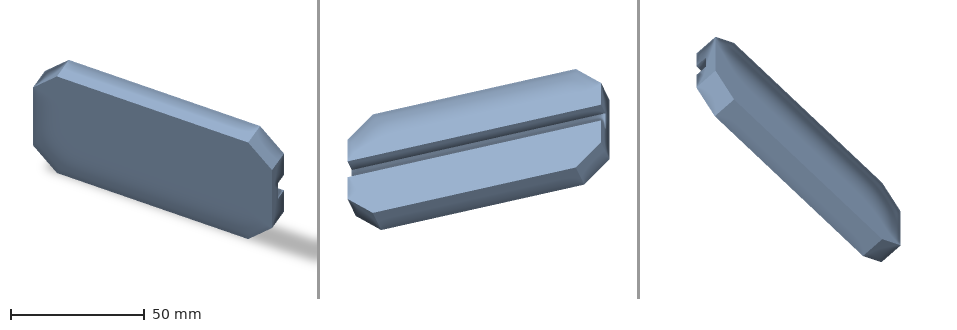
import cadquery as cq

length = 100.0
thickness = 10.0
height = 50.0
corner_cut = 10.0

groove_height = 8.0
groove_depth = thickness / 2

plate = cq.Workplane("XY").box(length, thickness, height).edges("|Y").chamfer(corner_cut)

groove = (
    cq.Workplane("XY")
    .box(length, groove_depth, groove_height)
    .translate((0, (thickness - groove_depth) / 2, 0))
)

result = plate.cut(groove)